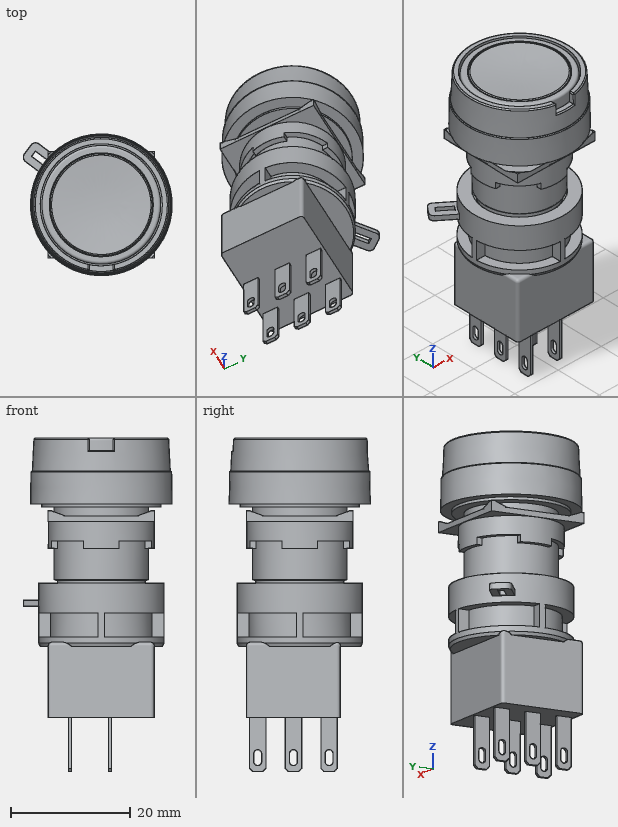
import cadquery as cq
import math


TOP_Z = 56.0
BEZEL_STEP_Z = 50.45
BEZEL_BOTTOM_Z = 44.9
GASKET_BOTTOM_Z = 44.4
BARREL_BOTTOM_Z = 32.1

BEZEL_TOP_R = 11.3
BEZEL_STEP_INNER_R = 11.6
BEZEL_STEP_OUTER_R = 11.8
BEZEL_BOTTOM_R = 23.8 / 2
BEZEL_STEP_CHAMFER = 0.15
BEZEL_EDGE_CHAMFER = 0.2
GASKET_R = 10.0
BARREL_R = 7.95
BARREL_CHAMFER_Z = 0.15
BARREL_CHAMFER_R = 0.35
NECK_R = 7.4
NECK_BOTTOM_Z = 30.8

BEZEL_BORE_R = 10.25
BUTTON_R = 9.95
BUTTON_GAP_FLOOR_Z = 53.2
BUTTON_EDGE_RADIUS = 0.45
FACE_GROOVE_OUTER_R = 8.75
FACE_GROOVE_FLOOR_R = 8.55
FACE_GROOVE_INNER_R = 8.35
FACE_GROOVE_DEPTH = 0.15
DISH_R = 8.2
DISH_DEPTH = 0.45

NOTCH_WIDTH = 4.0
NOTCH_FLOOR_Z = 53.9

NUT_SIDE = 17.9
NUT_BOTTOM_Z = 41.95
NUT_SEAT_Z = 42.9
NUT_CORNER_Z = 43.8
NUT_SEAT_R = 10.75
NUT_DISH_R = 12.25
COLLAR_R = 8.9
COLLAR_BOTTOM_Z = 37.45
COLLAR_NOTCH_HEIGHT = 1.25
COLLAR_TOOTH_WIDTH = 6.0

HOUSING_R = 10.5
HOUSING_TOP_Z = 31.65
HOUSING_BOTTOM_Z = 21.0
HOUSING_CHAMFER_R = 0.3
HOUSING_CHAMFER_Z = 0.55
HOUSING_BORE_R = 8.0
WINDOW_TOP_Z = 26.6
WINDOW_BOTTOM_Z = 22.55
WINDOW_INNER_R = 8.55
POST_WIDTH = 1.1

BASE_X = 17.8
BASE_FRONT_Y = -8.95
BASE_BACK_Y = 6.85
BASE_MID_Y = (BASE_FRONT_Y + BASE_BACK_Y) / 2
BASE_TOP_Z = 21.7
BASE_BOTTOM_Z = 9.1
BASE_FILLET = 0.6

TERMINAL_THICKNESS = 0.55
TERMINAL_WIDTH = 2.8
TERMINAL_CHAMFER = 0.55
TERMINAL_PITCH_Y = 6.0
TERMINAL_ROWS_X = (-5.25, 1.45)
TERMINAL_SLOT_WIDTH = 1.3
TERMINAL_SLOT_LENGTH = 2.65
TERMINAL_SLOT_Z = 2.35

LEVER_ANGLE = 143.0
LEVER_REACH = 15.45
LEVER_WIDTH = 3.75
LEVER_CORNER_R = 0.95
LEVER_BOTTOM_Z = 27.7
LEVER_THICKNESS = 1.05
LEVER_SLOT_START = 10.9
LEVER_SLOT_END = 14.2
LEVER_SLOT_WIDTH = 1.05

CUT_MARGIN = 0.55
TOLERANCE = 0.03


def cylinder(radius, bottom, top):
    return cq.Workplane("XY").workplane(offset=bottom).circle(radius).extrude(top - bottom)


def box(x_size, y_size, bottom, top):
    return cq.Workplane("XY").workplane(offset=bottom).rect(x_size, y_size).extrude(top - bottom)


def corner_windows(radius, inner_radius, bottom, top, web):
    """Four ring sectors on the diagonals, parted by webs of constant width along X and Y."""
    ring = cylinder(radius, bottom, top).cut(cylinder(inner_radius, bottom, top))
    return ring.cut(box(web, 2 * radius, bottom, top)).cut(box(2 * radius, web, bottom, top))


def make_operator_core():
    """Turned shape of the bezel, button, gasket, barrel and neck."""
    button_edge_mid = BUTTON_EDGE_RADIUS * (1 - math.sqrt(0.5))
    sphere_r = (DISH_R**2 + DISH_DEPTH**2) / (2 * DISH_DEPTH)
    dish_bottom_z = TOP_Z - DISH_DEPTH
    dish_mid_r = DISH_R / 2
    dish_mid_z = dish_bottom_z + sphere_r - math.sqrt(sphere_r**2 - dish_mid_r**2)
    return (
        cq.Workplane("XZ")
        .moveTo(0, NECK_BOTTOM_Z)
        .lineTo(NECK_R, NECK_BOTTOM_Z)
        .lineTo(NECK_R, BARREL_BOTTOM_Z)
        .lineTo(BARREL_R - BARREL_CHAMFER_R, BARREL_BOTTOM_Z)
        .lineTo(BARREL_R, BARREL_BOTTOM_Z + BARREL_CHAMFER_Z)
        .lineTo(BARREL_R, GASKET_BOTTOM_Z)
        .lineTo(GASKET_R, GASKET_BOTTOM_Z)
        .lineTo(GASKET_R, BEZEL_BOTTOM_Z)
        .lineTo(BEZEL_BOTTOM_R, BEZEL_BOTTOM_Z)
        .lineTo(BEZEL_STEP_OUTER_R, BEZEL_STEP_Z - BEZEL_STEP_CHAMFER)
        .lineTo(BEZEL_STEP_OUTER_R - BEZEL_STEP_CHAMFER, BEZEL_STEP_Z)
        .lineTo(BEZEL_STEP_INNER_R, BEZEL_STEP_Z)
        .lineTo(BEZEL_TOP_R, TOP_Z)
        .lineTo(BEZEL_BORE_R, TOP_Z)
        .lineTo(BEZEL_BORE_R, BUTTON_GAP_FLOOR_Z)
        .lineTo(BUTTON_R, BUTTON_GAP_FLOOR_Z)
        .lineTo(BUTTON_R, TOP_Z - BUTTON_EDGE_RADIUS)
        .threePointArc(
            (BUTTON_R - button_edge_mid, TOP_Z - button_edge_mid),
            (BUTTON_R - BUTTON_EDGE_RADIUS, TOP_Z),
        )
        .lineTo(FACE_GROOVE_OUTER_R, TOP_Z)
        .lineTo(FACE_GROOVE_OUTER_R, TOP_Z - FACE_GROOVE_DEPTH)
        .lineTo(FACE_GROOVE_FLOOR_R, TOP_Z - FACE_GROOVE_DEPTH)
        .lineTo(FACE_GROOVE_INNER_R, TOP_Z)
        .lineTo(DISH_R, TOP_Z)
        .threePointArc((dish_mid_r, dish_mid_z), (0, dish_bottom_z))
        .close()
        .revolve(360, (0, 0, 0), (0, 1, 0))
    )


def is_bezel_rim_edge(edge):
    """True for the outer top edge of the bezel and the outward edges of its notch."""
    middle = edge.positionAt(0.5)
    radius = math.hypot(middle.x, middle.y)
    on_outer_wall = radius > BEZEL_TOP_R - TOLERANCE and middle.z > NOTCH_FLOOR_Z - TOLERANCE
    rim_middle_r = (BEZEL_BORE_R + BEZEL_TOP_R) / 2
    across_top = middle.z > TOP_Z - TOLERANCE and radius > rim_middle_r - TOLERANCE
    return on_outer_wall or across_top


def make_operator():
    notch = box(NOTCH_WIDTH, BEZEL_BOTTOM_R, NOTCH_FLOOR_Z, TOP_Z)
    notch = notch.translate((0, -BEZEL_BOTTOM_R / 2, 0))
    notch = notch.cut(cylinder(BUTTON_R, NOTCH_FLOOR_Z, TOP_Z))
    body = make_operator_core().cut(notch)
    return body.edges().filter(is_bezel_rim_edge).chamfer(BEZEL_EDGE_CHAMFER)


def make_nut():
    plate = box(NUT_SIDE, NUT_SIDE, NUT_BOTTOM_Z, NUT_CORNER_Z)
    dish = (
        cq.Workplane("XZ")
        .moveTo(0, NUT_SEAT_Z)
        .lineTo(NUT_SEAT_R, NUT_SEAT_Z)
        .lineTo(NUT_DISH_R, NUT_CORNER_Z)
        .lineTo(0, NUT_CORNER_Z)
        .close()
        .revolve(360, (0, 0, 0), (0, 1, 0))
    )
    collar = cylinder(COLLAR_R, COLLAR_BOTTOM_Z, NUT_BOTTOM_Z)
    notch_top = COLLAR_BOTTOM_Z + COLLAR_NOTCH_HEIGHT
    notches = corner_windows(
        COLLAR_R + CUT_MARGIN, BARREL_R, COLLAR_BOTTOM_Z, notch_top, COLLAR_TOOTH_WIDTH
    )
    bore = cylinder(BARREL_R, COLLAR_BOTTOM_Z, NUT_CORNER_Z)
    return plate.cut(dish).union(collar).cut(notches).cut(bore)


def make_housing():
    housing = (
        cylinder(HOUSING_R, HOUSING_BOTTOM_Z, HOUSING_TOP_Z)
        .faces("<Z")
        .chamfer(HOUSING_CHAMFER_Z, HOUSING_CHAMFER_R)
    )
    bore = cylinder(HOUSING_BORE_R, NECK_BOTTOM_Z, HOUSING_TOP_Z)
    windows = corner_windows(
        HOUSING_R + CUT_MARGIN, WINDOW_INNER_R, WINDOW_BOTTOM_Z, WINDOW_TOP_Z, POST_WIDTH
    )
    return housing.cut(bore).cut(windows)


def make_base():
    base = box(BASE_X, BASE_BACK_Y - BASE_FRONT_Y, BASE_BOTTOM_Z, BASE_TOP_Z)
    base = base.edges("|Z or >Z").fillet(BASE_FILLET)
    return base.translate((0, BASE_MID_Y, 0))


def make_terminal():
    blade = (
        box(TERMINAL_THICKNESS, TERMINAL_WIDTH, 0, BASE_BOTTOM_Z)
        .edges("|X and <Z")
        .chamfer(TERMINAL_CHAMFER)
    )
    slot = (
        cq.Workplane("YZ")
        .center(0, TERMINAL_SLOT_Z)
        .slot2D(TERMINAL_SLOT_LENGTH, TERMINAL_SLOT_WIDTH, 90)
        .extrude(TERMINAL_THICKNESS, both=True)
    )
    return blade.cut(slot)


def make_lever():
    top = LEVER_BOTTOM_Z + LEVER_THICKNESS
    lever = box(LEVER_REACH, LEVER_WIDTH, LEVER_BOTTOM_Z, top).translate((LEVER_REACH / 2, 0, 0))
    lever = lever.edges("|Z and >X").fillet(LEVER_CORNER_R)
    slot_mid = (LEVER_SLOT_START + LEVER_SLOT_END) / 2
    slot = box(LEVER_SLOT_END - LEVER_SLOT_START, LEVER_SLOT_WIDTH, LEVER_BOTTOM_Z, top)
    lever = lever.cut(slot.translate((slot_mid, 0, 0)))
    return lever.rotate((0, 0, 0), (0, 0, 1), LEVER_ANGLE)


def make_contact_block():
    block = make_housing().union(make_base()).union(make_lever())
    for x in TERMINAL_ROWS_X:
        for column in (-1, 0, 1):
            y = BASE_MID_Y + column * TERMINAL_PITCH_Y
            block = block.union(make_terminal().translate((x, y, 0)))
    return block


operator = make_operator()
locking_nut = make_nut()
contact_block = make_contact_block()

result = cq.Compound.makeCompound(
    [operator.solids().val(), locking_nut.solids().val(), contact_block.solids().val()]
)